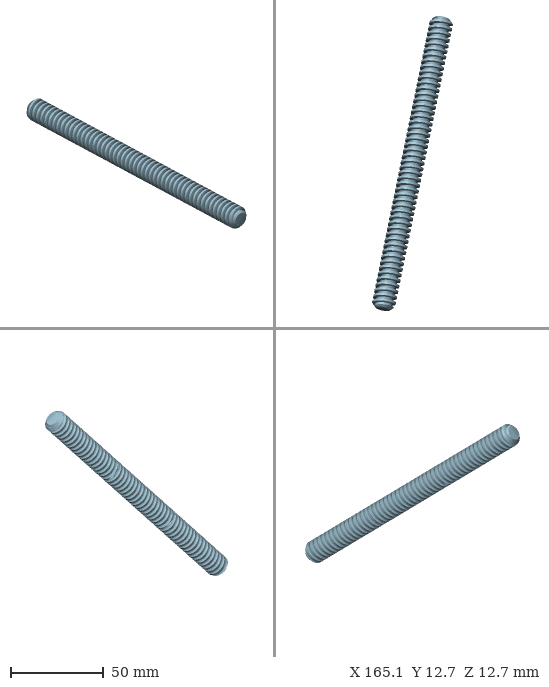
import cadquery as cq
import math


length = 165.1
outer_diameter = 12.7
outer_radius = outer_diameter / 2
end_face_diameter = 8.0
end_chamfer = (outer_diameter - end_face_diameter) / 2

turns_in_length = 52
pitch = length / turns_in_length
thread_depth = pitch / 2
root_radius = outer_radius - thread_depth
crest_width = 0.37 * pitch
flank_slope = math.tan(math.radians(29 / 2))
first_crest = -1.35
run_out_turns = 2
run_out = run_out_turns * pitch
thread_embed = 0.2
trim_clearance = 1.7

outer_section_turns = 16
outer_section_length = outer_section_turns * pitch


def make_thread():
    """Helical ridge, longer than the rod at both ends."""
    foot_radius = root_radius - thread_embed
    half_crest = crest_width / 2
    half_foot = half_crest + (thread_depth + thread_embed) * flank_slope
    profile = [
        (foot_radius, -half_foot),
        (outer_radius, -half_crest),
        (outer_radius, half_crest),
        (foot_radius, half_foot),
    ]
    helix_length = (turns_in_length + 2 * run_out_turns) * pitch
    path = cq.Workplane(obj=cq.Wire.makeHelix(pitch, helix_length, root_radius))
    ridge = cq.Workplane("XZ").polyline(profile).close().sweep(path, isFrenet=True)
    ridge_along_x = ridge.rotate((0, 0, 0), (0, 1, 0), 90)
    return ridge_along_x.translate((first_crest - run_out, 0, 0))


def make_core():
    """Cylinder at the thread root, long enough to carry the whole ridge."""
    core_overhang = 2 * run_out
    start = cq.Workplane("YZ", origin=(-core_overhang, 0, 0))
    return start.circle(root_radius).extrude(length + 2 * core_overhang)


def make_end_envelope():
    """Space between the end faces and inside the end chamfers."""
    end_face_radius = end_face_diameter / 2
    envelope_radius = outer_radius + trim_clearance
    cone_length = end_chamfer + trim_clearance
    outline = [
        (0, 0),
        (0, end_face_radius),
        (cone_length, envelope_radius),
        (length - cone_length, envelope_radius),
        (length, end_face_radius),
        (length, 0),
    ]
    return cq.Workplane("XY").polyline(outline).close().revolve(360, (0, 0, 0), (1, 0, 0))


def make_section(whole_rod, start_x, end_x):
    """The part of the rod between two flat faces square to X."""
    slab_size = 2 * (outer_radius + trim_clearance)
    slab = cq.Workplane("YZ", origin=(start_x, 0, 0)).rect(slab_size, slab_size).extrude(end_x - start_x)
    return whole_rod.intersect(slab).solids()


threaded_rod = make_core().union(make_thread(), clean=False).intersect(make_end_envelope())

first_joint = outer_section_length
second_joint = length - outer_section_length

start_section = make_section(threaded_rod, 0, first_joint)
middle_section = make_section(threaded_rod, first_joint, second_joint)
end_section = make_section(threaded_rod, second_joint, length)

result = cq.Compound.makeCompound([start_section.val(), middle_section.val(), end_section.val()])